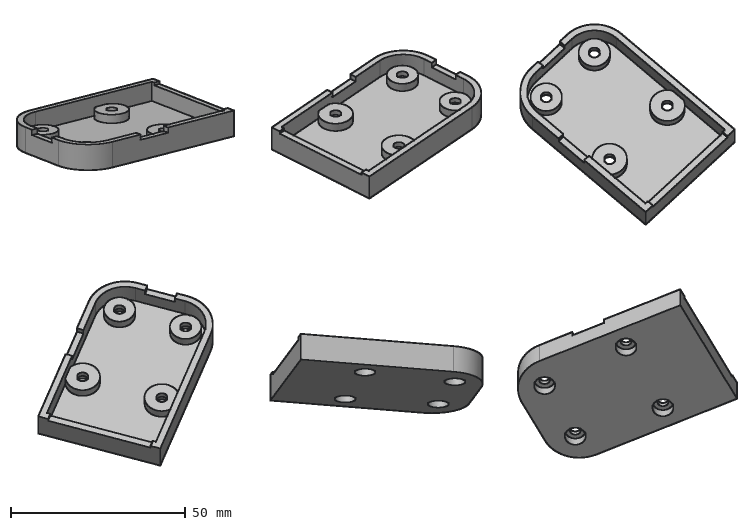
import cadquery as cq

WIDTH = 37.0
LENGTH = 56.0
HEIGHT = 7.8
WALL = 2.0
FLOOR = 2.0
CORNER_RADIUS = 11.0

SCREW_HOLE_DIAMETER = 3.2
BOSS_HEIGHT = 2.6
SCREW_HEAD_DIAMETER = 6.0
SCREW_HEAD_DEPTH = 3.0
FRONT_BOSS_DIAMETER = 9.0
FRONT_BOSS_SPACING = 20.0
FRONT_BOSS_INSET = 8.5
REAR_BOSS_DIAMETER = 10.0
REAR_BOSS_SPACING = 24.0
REAR_BOSS_INSET = 35.5

FRONT_NOTCH_WIDTH = 9.0
FRONT_NOTCH_DEPTH = 1.6
REAR_NOTCH_WIDTH = 31.0
REAR_NOTCH_DEPTH = 0.8
SIDE_NOTCH_LENGTH = 10.1
SIDE_NOTCH_DEPTH = 1.6
SIDE_NOTCH_INSET = 21.5

FRONT_Y = -LENGTH / 2
REAR_Y = LENGTH / 2
SIDE_X = WIDTH / 2
BOSS_TOP = FLOOR + BOSS_HEIGHT


def rounded_block(width, length, height, radius, base_z):
    """Centred block whose two front vertical edges are rounded."""
    block = cq.Workplane("XY").box(width, length, height, centered=(True, True, False))
    return block.edges("|Z and <Y").fillet(radius).translate((0, 0, base_z))


def make_tray():
    outside = rounded_block(WIDTH, LENGTH, HEIGHT, CORNER_RADIUS, 0)
    cavity = rounded_block(
        WIDTH - 2 * WALL,
        LENGTH - 2 * WALL,
        HEIGHT - FLOOR,
        CORNER_RADIUS - WALL,
        FLOOR,
    )
    return outside.cut(cavity)


def pair_of_cylinders(spacing, inset, diameter, height):
    """Two upright cylinders standing on the underside plane, mirrored about X = 0."""
    y = FRONT_Y + inset
    centres = [(-spacing / 2, y), (spacing / 2, y)]
    return cq.Workplane("XY").pushPoints(centres).circle(diameter / 2).extrude(height)


def add_boss_pair(body, spacing, inset, diameter):
    """Two bosses with through holes and screw head recesses in the underside."""
    bosses = pair_of_cylinders(spacing, inset, diameter, BOSS_TOP)
    holes = pair_of_cylinders(spacing, inset, SCREW_HOLE_DIAMETER, BOSS_TOP)
    recesses = pair_of_cylinders(spacing, inset, SCREW_HEAD_DIAMETER, SCREW_HEAD_DEPTH)
    return body.union(bosses).cut(holes).cut(recesses)


def rim_notch(size_x, size_y, depth, x, y):
    """Cutting block that reaches down from the rim, centred on (x, y)."""
    block = cq.Workplane("XY").box(size_x, size_y, depth, centered=(True, True, False))
    return block.translate((x, y, HEIGHT - depth))


result = make_tray()
result = add_boss_pair(result, FRONT_BOSS_SPACING, FRONT_BOSS_INSET, FRONT_BOSS_DIAMETER)
result = add_boss_pair(result, REAR_BOSS_SPACING, REAR_BOSS_INSET, REAR_BOSS_DIAMETER)

front_notch = rim_notch(FRONT_NOTCH_WIDTH, WALL, FRONT_NOTCH_DEPTH, 0, FRONT_Y + WALL / 2)
rear_notch = rim_notch(REAR_NOTCH_WIDTH, WALL, REAR_NOTCH_DEPTH, 0, REAR_Y - WALL / 2)
side_notch = rim_notch(
    WALL,
    SIDE_NOTCH_LENGTH,
    SIDE_NOTCH_DEPTH,
    SIDE_X - WALL / 2,
    FRONT_Y + SIDE_NOTCH_INSET + SIDE_NOTCH_LENGTH / 2,
)
result = result.cut(front_notch).cut(rear_notch).cut(side_notch)